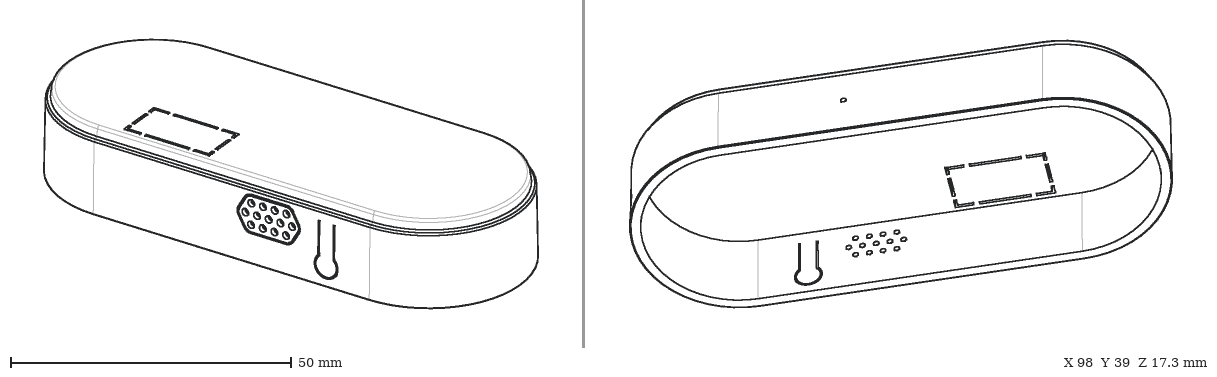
import cadquery as cq
import math

LENGTH = 98.0
END_RADIUS = 19.5
STRAIGHT = LENGTH - 2 * END_RADIUS
HEIGHT = 17.3

SIDE_DRAFT = 1.0
FOOT_BEVEL = 0.2
SHOULDER_Z = 14.7
BEVEL_RADIUS = 18.9
BEVEL_Z = 15.1

LID_RADIUS = 18.3
LID_Z = 15.4
LID_DRAFT = 8.0
LID_FILLET = 0.6

WALL = 2.0

VENT_X = 7.9
VENT_Z = 10.0
VENT_DIAMETER = 1.0
VENT_MOUTH = 1.4
VENT_MOUTH_DEPTH = 1.0
VENT_ROWS = (4, 5, 4)
VENT_SPAN = 10.0
VENT_PITCH = VENT_SPAN / (max(VENT_ROWS) - 1)
VENT_ROW_PITCH = VENT_PITCH * math.sin(math.radians(60))
LONG_VENT = (0, 1)

FRAME_OFFSET = 1.6
FRAME_GROOVE = 0.3
FRAME_DEPTH = 0.3

STEM_X = 20.3
STEM_WIDTH = 3.2
STEM_TOP_Z = 12.8
BULB_Z = 4.2
BULB_RADIUS = 2.4
STEM_SLOT = 0.3

WINDOW_X = -15.8
WINDOW_Y = -11.6
WINDOW_LENGTH = 17.7
WINDOW_WIDTH = 9.2
WINDOW_SLOT = 0.5
BRIDGE = 1.1
BRIDGE_X = 5.2
BRIDGE_Y = 2.6

THROUGH_WALL = 2 * WALL


def inset(rise, draft):
    """Inward shift of a drafted wall over a rise."""
    return rise * math.tan(math.radians(draft))


def tier(radius, z, top_radius, top_z):
    """Long rounded block whose end radius changes evenly from bottom to top."""
    rise = top_z - z
    outline = cq.Workplane("XY").workplane(offset=z).slot2D(STRAIGHT + 2 * radius, 2 * radius)
    return outline.extrude(rise, taper=math.degrees(math.atan2(radius - top_radius, rise)))


def shell():
    """Drafted case with a beveled shoulder, a raised lid and an open bottom."""
    levels = [
        (END_RADIUS - FOOT_BEVEL, 0),
        (END_RADIUS, FOOT_BEVEL),
        (END_RADIUS - inset(SHOULDER_Z - FOOT_BEVEL, SIDE_DRAFT), SHOULDER_Z),
        (BEVEL_RADIUS, BEVEL_Z),
        (LID_RADIUS, LID_Z),
        (LID_RADIUS - inset(HEIGHT - LID_Z, LID_DRAFT), HEIGHT),
    ]
    case = cq.Workplane("XY")
    for lower, upper in zip(levels, levels[1:]):
        case = case.union(tier(*lower, *upper))
    case = case.faces(">Z").edges().fillet(LID_FILLET)

    ceiling = HEIGHT - WALL
    inner_radius = END_RADIUS - WALL
    return case.cut(tier(inner_radius, 0, inner_radius - inset(ceiling, SIDE_DRAFT), ceiling))


def wall_plane(x, z):
    """Sketch plane on the front wall's surface at the given height, for cuts to both sides."""
    return cq.Workplane("XZ", origin=(x, inset(z - FOOT_BEVEL, SIDE_DRAFT) - END_RADIUS, z))


def vent_center(row, column):
    """X and Z of a vent, with rows counted upwards from the bottom one."""
    x = VENT_X + (column - (VENT_ROWS[row] - 1) / 2) * VENT_PITCH
    z = VENT_Z + (row - (len(VENT_ROWS) - 1) / 2) * VENT_ROW_PITCH
    return x, z


def vents():
    """Round stepped vents, one of which continues straight to the back."""
    cutters = cq.Workplane("XZ")
    for row, count in enumerate(VENT_ROWS):
        for column in range(count):
            depth = 2 * END_RADIUS if (row, column) == LONG_VENT else THROUGH_WALL
            plane = wall_plane(*vent_center(row, column))
            cutters = cutters.union(plane.circle(VENT_DIAMETER / 2).extrude(depth, both=True))
            cutters = cutters.union(plane.circle(VENT_MOUTH / 2).extrude(VENT_MOUTH_DEPTH, both=True))
    return cutters


def frame_area(offset):
    """Plate with rounded corners, at a constant distance outside the outermost vent centers."""
    side_x = VENT_SPAN / 2
    corner_x = (min(VENT_ROWS) - 1) / 2 * VENT_PITCH
    hexagon = [
        (side_x, 0),
        (corner_x, VENT_ROW_PITCH),
        (-corner_x, VENT_ROW_PITCH),
        (-side_x, 0),
        (-corner_x, -VENT_ROW_PITCH),
        (corner_x, -VENT_ROW_PITCH),
    ]
    outline = wall_plane(VENT_X, VENT_Z).polyline(hexagon).close().offset2D(offset, "arc")
    return outline.extrude(FRAME_DEPTH, both=True)


def frame_groove():
    """Shallow groove around the vents."""
    outer = frame_area(FRAME_OFFSET + FRAME_GROOVE / 2)
    return outer.cut(frame_area(FRAME_OFFSET - FRAME_GROOVE / 2))


def thermometer_area(margin):
    """Thermometer silhouette grown by a margin, reaching through the front wall."""
    bulb = wall_plane(STEM_X, BULB_Z).circle(BULB_RADIUS + margin)
    bulb = bulb.extrude(THROUGH_WALL, both=True)
    stem_height = STEM_TOP_Z - BULB_Z
    stem = wall_plane(STEM_X, BULB_Z).center(0, stem_height / 2)
    stem = stem.rect(STEM_WIDTH + 2 * margin, stem_height)
    return bulb.union(stem.extrude(THROUGH_WALL, both=True))


def thermometer_slot():
    """Narrow slot along the stem and bulb, left open across the top of the stem."""
    return thermometer_area(STEM_SLOT / 2).cut(thermometer_area(-STEM_SLOT / 2))


def window_slot():
    """Rectangular slot through the lid, interrupted by two bridges on each side."""

    def block(x, y, length, width):
        plane = cq.Workplane("XY", origin=(WINDOW_X + x, WINDOW_Y + y, HEIGHT))
        return plane.rect(length, width).extrude(-THROUGH_WALL)

    outer_length = WINDOW_LENGTH + WINDOW_SLOT
    outer_width = WINDOW_WIDTH + WINDOW_SLOT
    slot = block(0, 0, outer_length, outer_width)
    slot = slot.cut(block(0, 0, WINDOW_LENGTH - WINDOW_SLOT, WINDOW_WIDTH - WINDOW_SLOT))

    for side in (-1, 1):
        slot = slot.cut(block(side * BRIDGE_X, 0, BRIDGE, outer_width))
        slot = slot.cut(block(0, side * BRIDGE_Y, outer_length, BRIDGE))
    return slot


result = shell().cut(vents()).cut(frame_groove()).cut(thermometer_slot()).cut(window_slot())